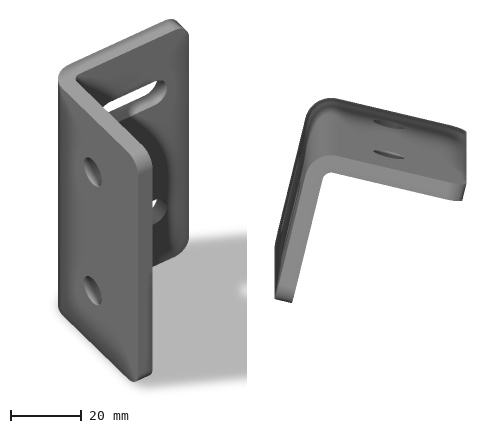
import cadquery as cq

height = 86.0
leg_length = 45.0
thickness = 5.0
inner_bend_radius = 2.5
outer_bend_radius = inner_bend_radius + thickness
corner_radius = 5.0

hole_diameter = 9.0
row_spacing = 45.0
hole_x = leg_length / 2
slot_length = 24.0
slot_y = 25.5
row_heights = [(height - row_spacing) / 2, (height + row_spacing) / 2]


def bent_plate():
    """L-shaped plate with its outer faces on X = 0 and Y = 0."""
    plate = (
        cq.Workplane("XY")
        .polyline([
            (0, 0),
            (leg_length, 0),
            (leg_length, thickness),
            (thickness, thickness),
            (thickness, leg_length),
            (0, leg_length),
        ])
        .close()
        .extrude(height)
    )
    plate = plate.edges(cq.selectors.NearestToPointSelector((0, 0, height / 2))).fillet(outer_bend_radius)
    inner_corner = (thickness, thickness, height / 2)
    plate = plate.edges(cq.selectors.NearestToPointSelector(inner_corner)).fillet(inner_bend_radius)
    plate = plate.faces(">X").edges("|Y").fillet(corner_radius)
    return plate.faces(">Y").edges("|X").fillet(corner_radius)


def round_holes():
    """Cutters through the leg that runs along X."""
    return (
        cq.Workplane("XZ")
        .pushPoints([(hole_x, z) for z in row_heights])
        .circle(hole_diameter / 2)
        .extrude(-thickness)
    )


def slots():
    """Cutters through the leg that runs along Y, lengthwise across it."""
    return (
        cq.Workplane("YZ")
        .pushPoints([(slot_y, z) for z in row_heights])
        .slot2D(slot_length, hole_diameter)
        .extrude(thickness)
    )


result = bent_plate().cut(round_holes()).cut(slots())